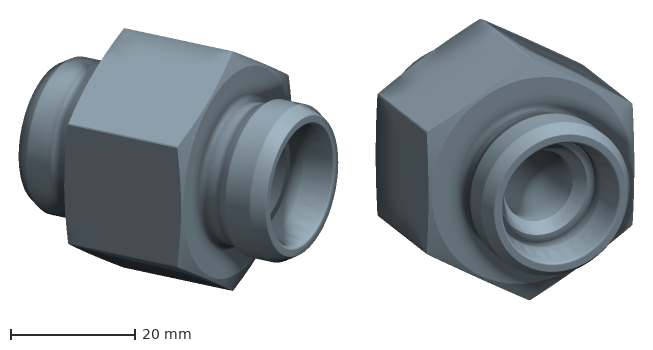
import cadquery as cq
import math

length = 46.0
half_length = length / 2

hex_across_flats = 36.0
hex_corner_diameter = 41.45
hex_length = 22.0
hex_face_diameter = 35.0
hex_chamfer_angle = math.radians(15)

crest_diameter = 26.0
neck_diameter = 23.7
rim_radius = 11.7
slope_angle = math.radians(30)
crest_start = 2.25
crest_end = 6.85
neck_start = crest_end + (crest_diameter - neck_diameter) / 2 / math.tan(slope_angle)
crest_rounding = 0.6
neck_rounding = 1.2
hex_root_rounding = 1.0
rim_rounding = 0.25

bore_diameter = 12.0
bore_countersink_diameter = 15.55
countersink_angle = math.radians(45)
tube_diameter = 18.2
tube_seat_depth = 7.5
mouth_diameter = 20.42
mouth_half_angle = math.radians(12)
mouth_rounding = 0.4


def make_hexagon():
    """Hexagonal bar with its corners turned round and its ends turned to a shallow cone."""
    sharp_corner_diameter = 2 * hex_across_flats / math.sqrt(3)
    bar = (
        cq.Workplane("YZ")
        .polygon(6, sharp_corner_diameter)
        .extrude(hex_length / 2, both=True)
        .rotate((0, 0, 0), (1, 0, 0), 90)
    )
    half = hex_length / 2
    corner_radius = hex_corner_diameter / 2
    face_radius = hex_face_diameter / 2
    cone_length = (corner_radius - face_radius) * math.tan(hex_chamfer_angle)
    envelope = (
        cq.Workplane("XY")
        .moveTo(-half, 0)
        .lineTo(-half, face_radius)
        .lineTo(-half + cone_length, corner_radius)
        .lineTo(half - cone_length, corner_radius)
        .lineTo(half, face_radius)
        .lineTo(half, 0)
        .close()
        .revolve(360, (0, 0, 0), (1, 0, 0))
    )
    return bar.intersect(envelope)


def make_spigot():
    """Solid end on -X: sloped rim, crest, and neck running into the hexagon."""
    crest_radius = crest_diameter / 2
    neck_radius = neck_diameter / 2
    return (
        cq.Workplane("XY")
        .moveTo(-half_length, 0)
        .lineTo(-half_length, rim_radius)
        .lineTo(-half_length + crest_start, crest_radius)
        .lineTo(-half_length + crest_end, crest_radius)
        .lineTo(-half_length + neck_start, neck_radius)
        .lineTo(0, neck_radius)
        .lineTo(0, 0)
        .close()
        .revolve(360, (0, 0, 0), (1, 0, 0))
    )


def make_socket():
    """Cutter for the inside of the -X end: tapered mouth, tube seat, countersink."""
    mouth_radius = mouth_diameter / 2
    tube_radius = tube_diameter / 2
    sink_radius = bore_countersink_diameter / 2
    bore_radius = bore_diameter / 2
    mouth_length = (mouth_radius - tube_radius) / math.tan(mouth_half_angle)
    sink_length = (sink_radius - bore_radius) / math.tan(countersink_angle)
    seat_x = -half_length + tube_seat_depth
    return (
        cq.Workplane("XY")
        .moveTo(-half_length, 0)
        .lineTo(-half_length, mouth_radius)
        .lineTo(-half_length + mouth_length, tube_radius)
        .lineTo(seat_x, tube_radius)
        .lineTo(seat_x, sink_radius)
        .lineTo(seat_x + sink_length, bore_radius)
        .lineTo(0, bore_radius)
        .lineTo(0, 0)
        .close()
        .revolve(360, (0, 0, 0), (1, 0, 0))
    )


def round_circles(body, x, radius, rounding):
    """Fillet the matching circular edges, of the given radius, at +x and -x."""
    tolerance = 0.005

    def matches(edge):
        box = edge.BoundingBox()
        on_plane = box.xlen < tolerance and abs(abs(box.center.x) - x) < tolerance
        return on_plane and edge.geomType() == "CIRCLE" and abs(edge.radius() - radius) < tolerance

    edges = [edge for edge in body.edges().vals() if matches(edge)]
    return body.newObject(edges).fillet(rounding)


def round_ends(body):
    """Soften the crest, neck, hexagon root, rim and mouth of both ends."""
    crest_radius = crest_diameter / 2
    neck_radius = neck_diameter / 2
    body = round_circles(body, half_length - crest_start, crest_radius, crest_rounding)
    body = round_circles(body, half_length - crest_end, crest_radius, crest_rounding)
    body = round_circles(body, half_length - neck_start, neck_radius, neck_rounding)
    body = round_circles(body, hex_length / 2, neck_radius, hex_root_rounding)
    body = round_circles(body, half_length, rim_radius, rim_rounding)
    return round_circles(body, half_length, mouth_diameter / 2, mouth_rounding)


spigot = make_spigot()
socket = make_socket()
body = make_hexagon().union(spigot).union(spigot.mirror("YZ"))
body = body.cut(socket).cut(socket.mirror("YZ"))
result = round_ends(body)